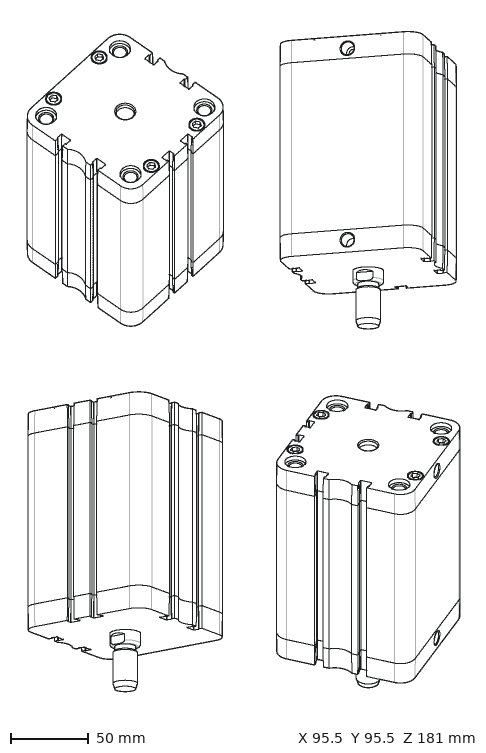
import cadquery as cq
import math

total_height = 181.0
body_side = 95.5
body_height = 144.0
cap_height = 15.0
corner_radius = 10.3
cap_draft = 0.9

half_side = body_side / 2
body_bottom = total_height - body_height
body_top = total_height
lower_seam = body_bottom + cap_height
upper_seam = body_top - cap_height
cut_margin = 1.8

face_slot_offset = 15.0
face_slot_mouth = 5.8
face_slot_lip = 3.0
face_slot_cavity = 7.2
face_slot_depth = 6.9

side_slot_offset = 9.0
side_slot_mouth = 5.0
side_slot_lip = 1.8
side_slot_cavity = 6.9
side_slot_depth = 5.2

channel_radius = 25.0 / 2
channel_depth = 2.7

mount_offset = 36.0
mount_recess_diameter = 13.5
mount_recess_depth = 2.9
mount_hole_diameter = 8.3
mount_countersink_diameter = 9.8

screw_offset_x = 41.6
screw_offset_y = 22.3
screw_recess_diameter = 10.3
screw_head_diameter = 9.5
screw_gap_depth = 0.9
hex_across_flats = 5.0
hex_depth = 2.9

centre_diameter = 12.0
centre_rim_diameter = 13.5
centre_depth = 3.6

port_end_distance = 8.1
port_diameter = 8.5
port_rim_diameter = 9.8
port_depth = 12.7
passage_diameter = 5.0
passage_depth = 20.0

rod_diameter = 20.0
rod_shoulder_length = 8.7
rod_shoulder_fillet = 1.8
neck_diameter = 13.5
thread_diameter = 16.0
thread_start = 11.5
thread_end_chamfer_length = 3.6
thread_end_diameter = 13.5
flat_width = 16.7
flat_start = 2.9
flat_runout_length = 1.0


def slot_profile(mouth, lip, cavity, depth):
    """T-slot section opening towards +Y, with its mouth at y = 0."""
    return (
        cq.Workplane("XY")
        .polyline([
            (-mouth / 2, cut_margin),
            (-mouth / 2, -lip),
            (-cavity / 2, -lip),
            (-cavity / 2, -depth),
            (cavity / 2, -depth),
            (cavity / 2, -lip),
            (mouth / 2, -lip),
            (mouth / 2, cut_margin),
        ])
        .close()
    )


def profile_block(height, draft):
    """Extruded barrel section standing on z = 0; draft narrows it upwards."""
    block = (
        cq.Workplane("XY")
        .sketch()
        .rect(body_side, body_side)
        .vertices()
        .fillet(corner_radius)
        .finalize()
        .extrude(height, taper=draft)
    )
    face_slot = slot_profile(
        face_slot_mouth, face_slot_lip, face_slot_cavity, face_slot_depth
    ).extrude(height, taper=-draft)
    side_slot = slot_profile(
        side_slot_mouth, side_slot_lip, side_slot_cavity, side_slot_depth
    ).extrude(height, taper=-draft)
    channel = cq.Workplane("XY").circle(channel_radius).extrude(height, taper=-draft)
    channel_centre = half_side - channel_depth + channel_radius

    for side in (1, -1):
        face_turn = 0 if side > 0 else 180
        block = block.cut(channel.translate((0, side * channel_centre, 0)))
        turned_slot = face_slot.rotate((0, 0, 0), (0, 0, 1), face_turn)
        for x in (-face_slot_offset, face_slot_offset):
            block = block.cut(turned_slot.translate((x, side * half_side, 0)))

    turned_slot = side_slot.rotate((0, 0, 0), (0, 0, 1), -90)
    for y in (-side_slot_offset, side_slot_offset):
        block = block.cut(turned_slot.translate((half_side, y, 0)))
    return block


def cylinder(diameter, bottom, top):
    """Cylinder on the Z axis between two heights."""
    return cq.Workplane("XY").workplane(offset=bottom).circle(diameter / 2).extrude(top - bottom)


def countersink(rim_diameter, hole_diameter, rim_height):
    """45 degree cone opening upwards on the Z axis."""
    depth = (rim_diameter - hole_diameter) / 2
    return (
        cq.Workplane("XY")
        .workplane(offset=rim_height)
        .circle(rim_diameter / 2)
        .workplane(offset=-depth)
        .circle(hole_diameter / 2)
        .loft(combine=True)
    )


def mounting_hole():
    """Counterbored hole through the upper cap with a countersunk lower part."""
    recess_floor = body_top - mount_recess_depth
    hole = cylinder(mount_hole_diameter, upper_seam, recess_floor)
    recess = cylinder(mount_recess_diameter, recess_floor, body_top)
    return hole.union(recess).union(
        countersink(mount_countersink_diameter, mount_hole_diameter, recess_floor)
    )


def screw_cut():
    """Ring gap around a flush screw head plus its hexagon socket."""
    ring = (
        cq.Workplane("XY")
        .workplane(offset=body_top - screw_gap_depth)
        .circle(screw_recess_diameter / 2)
        .circle(screw_head_diameter / 2)
        .extrude(screw_gap_depth)
    )
    hex_across_corners = hex_across_flats / math.cos(math.pi / 6)
    socket = (
        cq.Workplane("XY")
        .workplane(offset=body_top - hex_depth)
        .transformed(rotate=(0, 0, 30))
        .polygon(6, hex_across_corners)
        .extrude(hex_depth)
    )
    return ring.union(socket)


def port_cut(z, with_passage):
    """Chamfered port bored along +X from the -X face, optionally with a narrower passage."""
    chamfer = (port_rim_diameter - port_diameter) / 2
    bore_radius = port_diameter / 2
    draft_inset = (cap_height - port_end_distance) * math.tan(math.radians(cap_draft))
    face_x = draft_inset - half_side
    points = [
        (face_x - cut_margin, 0),
        (face_x - cut_margin, bore_radius + chamfer + cut_margin),
        (face_x + chamfer, bore_radius),
        (face_x + port_depth, bore_radius),
    ]
    if with_passage:
        points += [
            (face_x + port_depth, passage_diameter / 2),
            (face_x + passage_depth, passage_diameter / 2),
            (face_x + passage_depth, 0),
        ]
    else:
        points += [(face_x + port_depth, 0)]
    return (
        cq.Workplane("XZ")
        .polyline(points)
        .close()
        .revolve(360, (0, 0, 0), (1, 0, 0))
        .translate((0, 0, z))
    )


def make_barrel():
    return profile_block(body_height - 2 * cap_height, 0).translate((0, 0, lower_seam))


def make_upper_cap():
    cap = profile_block(cap_height, cap_draft).translate((0, 0, upper_seam))
    mount = mounting_hole()
    screw = screw_cut()
    for x_side in (-1, 1):
        for y_side in (-1, 1):
            cap = cap.cut(mount.translate((x_side * mount_offset, y_side * mount_offset, 0)))
            cap = cap.cut(screw.translate((x_side * screw_offset_x, y_side * screw_offset_y, 0)))
    cap = cap.cut(cylinder(centre_diameter, body_top - centre_depth, body_top))
    cap = cap.cut(countersink(centre_rim_diameter, centre_diameter, body_top))
    return cap.cut(port_cut(body_top - port_end_distance, True))


def make_lower_cap():
    cap = profile_block(cap_height, cap_draft).mirror("XY").translate((0, 0, lower_seam))
    cap = cap.cut(cylinder(rod_diameter, body_bottom, lower_seam))
    return cap.cut(port_cut(body_bottom + port_end_distance, False))


def make_rod():
    """Turned rod filling the lower cap's bore, with two wrench flats facing -X and +X."""
    shoulder_end = body_bottom - rod_shoulder_length
    thread_top = body_bottom - thread_start
    thread_lead_in = (thread_diameter - neck_diameter) / 2
    fillet_centre = (rod_diameter / 2 - rod_shoulder_fillet, shoulder_end + rod_shoulder_fillet)
    fillet_reach = rod_shoulder_fillet * math.sqrt(0.5)
    rod = (
        cq.Workplane("XZ")
        .moveTo(0, lower_seam)
        .lineTo(rod_diameter / 2, lower_seam)
        .lineTo(rod_diameter / 2, fillet_centre[1])
        .threePointArc(
            (fillet_centre[0] + fillet_reach, fillet_centre[1] - fillet_reach),
            (fillet_centre[0], shoulder_end),
        )
        .lineTo(neck_diameter / 2, shoulder_end)
        .lineTo(neck_diameter / 2, thread_top)
        .lineTo(thread_diameter / 2, thread_top - thread_lead_in)
        .lineTo(thread_diameter / 2, thread_end_chamfer_length)
        .lineTo(thread_end_diameter / 2, 0)
        .lineTo(0, 0)
        .close()
        .revolve(360, (0, 0, 0), (0, 1, 0))
    )
    flat_top = body_bottom - flat_start
    flat_cut = (
        cq.Workplane("XZ")
        .polyline([
            (flat_width / 2, shoulder_end),
            (flat_width / 2, flat_top),
            (rod_diameter / 2, flat_top + flat_runout_length),
            (rod_diameter / 2, shoulder_end),
        ])
        .close()
        .extrude(rod_diameter / 2, both=True)
    )
    return rod.cut(flat_cut).cut(flat_cut.mirror("YZ"))


barrel = make_barrel()
upper_cap = make_upper_cap()
lower_cap = make_lower_cap()
rod = make_rod()

result = cq.Compound.makeCompound([
    body.solids().val() for body in (barrel, upper_cap, lower_cap, rod)
])